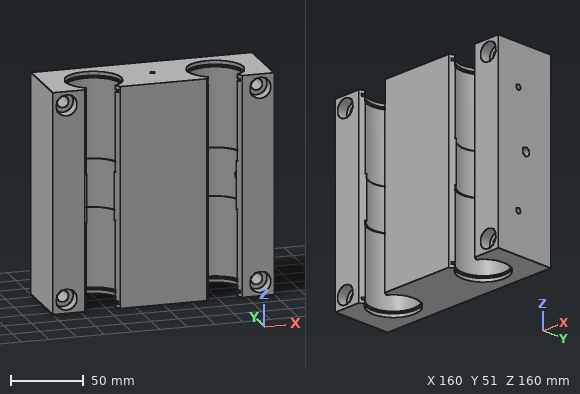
import cadquery as cq
import math

width = 160.0
depth = 51.0
height = 160.0
front_y = -depth / 2

bore_x = 44.0
bore_y = front_y + 21.0
bore_diameter = 40.0
land_diameter = 38.0
land_height = 35.0

slot_half_angle = 30.0
slot_front_width = 25.6

groove_diameter = 45.0
groove_width = 1.85
groove_offset = 2.8

screw_spacing = 140.0
screw_hole_diameter = 8.38
counterbore_diameter = 15.0
counterbore_depth = 9.0

port_y = 0.0
port_diameter = 3.3
port_depth = 10.0
feed_diameter = 1.6
feed_depth = 20.0

clamp_y = 1.2
clamp_tip_diameter = 6.0
clamp_diameter = 6.65
clamp_shoulder_x = bore_x + 20.3
set_screw_y = -6.1
set_screw_diameter = 4.13
set_screw_spacing = 92.6


def upright_cylinder(x, y, diameter, length, z_center):
    """Vertical cylinder centred on the given height."""
    cylinder = cq.Workplane("XY").circle(diameter / 2).extrude(length / 2, both=True)
    return cylinder.translate((x, y, z_center))


def slot_cutter(x):
    """Triangular prism whose flanks flare towards the front face."""
    half_width = slot_front_width / 2
    apex_y = front_y + half_width / math.tan(math.radians(slot_half_angle))
    return (
        cq.Workplane("XY")
        .polyline([(x, apex_y), (x - half_width, front_y), (x + half_width, front_y)])
        .close()
        .extrude(height / 2, both=True)
    )


def bearing_cutter(x):
    """Stepped bore with its ring grooves and front slot."""
    end_length = (height - land_height) / 2
    end_z = (height - end_length) / 2
    groove_z = height / 2 - groove_offset - groove_width / 2
    cutter = upright_cylinder(x, bore_y, land_diameter, height, 0)
    for side in (-1, 1):
        end_bore = upright_cylinder(x, bore_y, bore_diameter, end_length, side * end_z)
        groove = upright_cylinder(x, bore_y, groove_diameter, groove_width, side * groove_z)
        cutter = cutter.union(end_bore).union(groove)
    return cutter.union(slot_cutter(x))


def right_side_hole(diameter, y, z, inner_x):
    """Horizontal cylinder from the given X out through the right side face."""
    length = width / 2 - inner_x
    hole = cq.Workplane("YZ").center(y, z).circle(diameter / 2).extrude(length)
    return hole.translate((inner_x, 0, 0))


result = cq.Workplane("XY").box(width, depth, height)
for x in (-bore_x, bore_x):
    result = result.cut(bearing_cutter(x))

result = (
    result.faces("<Y")
    .workplane(centerOption="CenterOfBoundBox")
    .rarray(screw_spacing, screw_spacing, 2, 2)
    .cboreHole(screw_hole_diameter, counterbore_diameter, counterbore_depth)
)

for diameter, hole_depth in ((port_diameter, port_depth), (feed_diameter, feed_depth)):
    hole_z = (height - hole_depth) / 2
    result = result.cut(upright_cylinder(0, port_y, diameter, hole_depth, hole_z))

result = result.cut(right_side_hole(clamp_tip_diameter, clamp_y, 0, bore_x))
result = result.cut(right_side_hole(clamp_diameter, clamp_y, 0, clamp_shoulder_x))

for z in (-set_screw_spacing / 2, set_screw_spacing / 2):
    result = result.cut(right_side_hole(set_screw_diameter, set_screw_y, z, bore_x))